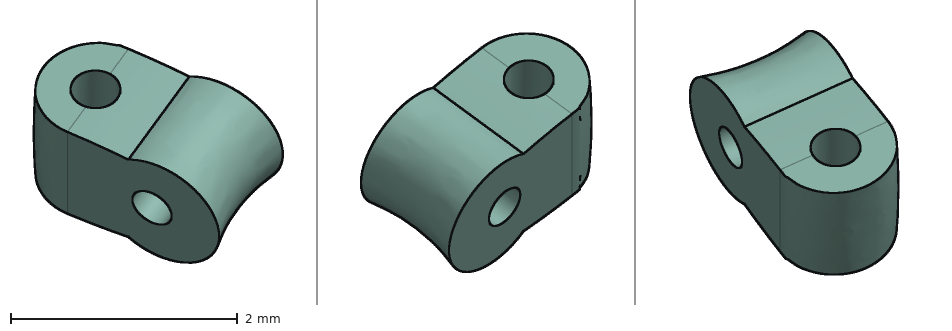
import cadquery as cq
import math

length = 2.11
width = 1.11
half_width = width / 2

body_half_height = 0.55
neck_half_height = 0.521
round_end_length = 0.553
neck_x = 1.167

circle_exponent = 2.0
full_exponent = 2.2
outline_segments = 16

front_tip_x = 2.083
waist_tip_x = 2.021
back_tip_x = length

vertical_hole_x = 0.528
vertical_hole_diameter = 0.439
cross_hole_x = 1.405
cross_hole_z = 0.006
cross_hole_diameter = 0.397


def end_point(angle, exponent):
    """Point on the superellipse that rounds the left end, at an angle from its tip."""
    x = round_end_length * (1 - abs(math.cos(angle)) ** (2 / exponent))
    y = half_width * math.copysign(abs(math.sin(angle)) ** (2 / exponent), angle)
    return cq.Vector(x, y, 0)


def end_section(z, exponent):
    """Closed horizontal outline of the rounded end at height z."""
    step = math.pi / outline_segments
    inner = [end_point(-math.pi / 2 + step * i, exponent) for i in range(1, outline_segments)]
    first = cq.Vector(round_end_length, -half_width, 0)
    last = cq.Vector(round_end_length, half_width, 0)
    tangents = [cq.Vector(-1, 0, 0), cq.Vector(1, 0, 0)]
    curve = cq.Edge.makeSpline([first, *inner, last], tangents=tangents)
    flat = cq.Edge.makeLine(last, first)
    return cq.Wire.assembleEdges([curve, flat]).moved(cq.Location(cq.Vector(0, 0, z)))


def disc_section(y, tip_x):
    """Closed upright outline of the disc end at depth y: an arc on the neck chord."""
    lower = cq.Vector(neck_x, y, -neck_half_height)
    upper = cq.Vector(neck_x, y, neck_half_height)
    arc = cq.Edge.makeThreePointArc(lower, cq.Vector(tip_x, y, 0), upper)
    chord = cq.Edge.makeLine(upper, lower)
    return cq.Wire.assembleEdges([arc, chord])


rounded_end = cq.Workplane(
    cq.Solid.makeLoft(
        [
            end_section(-body_half_height, circle_exponent),
            end_section(0, full_exponent),
            end_section(body_half_height, circle_exponent),
        ]
    )
)

neck_length = neck_x - round_end_length
neck_drop = body_half_height - neck_half_height
taper_radius = (neck_length**2 + neck_drop**2) / (2 * neck_drop)
neck_block = (
    cq.Workplane("XZ")
    .moveTo(round_end_length, -body_half_height)
    .radiusArc((neck_x, -neck_half_height), -taper_radius)
    .lineTo(neck_x, neck_half_height)
    .radiusArc((round_end_length, body_half_height), -taper_radius)
    .close()
    .extrude(half_width, both=True)
)

disc_end = cq.Workplane(
    cq.Solid.makeLoft(
        [
            disc_section(-half_width, front_tip_x),
            disc_section(0, waist_tip_x),
            disc_section(half_width, back_tip_x),
        ]
    )
)

vertical_hole = (
    cq.Workplane("XY")
    .center(vertical_hole_x, 0)
    .circle(vertical_hole_diameter / 2)
    .extrude(length, both=True)
)
cross_hole = (
    cq.Workplane("XZ")
    .center(cross_hole_x, cross_hole_z)
    .circle(cross_hole_diameter / 2)
    .extrude(length, both=True)
)

result = neck_block.union(rounded_end).union(disc_end).cut(vertical_hole).cut(cross_hole)